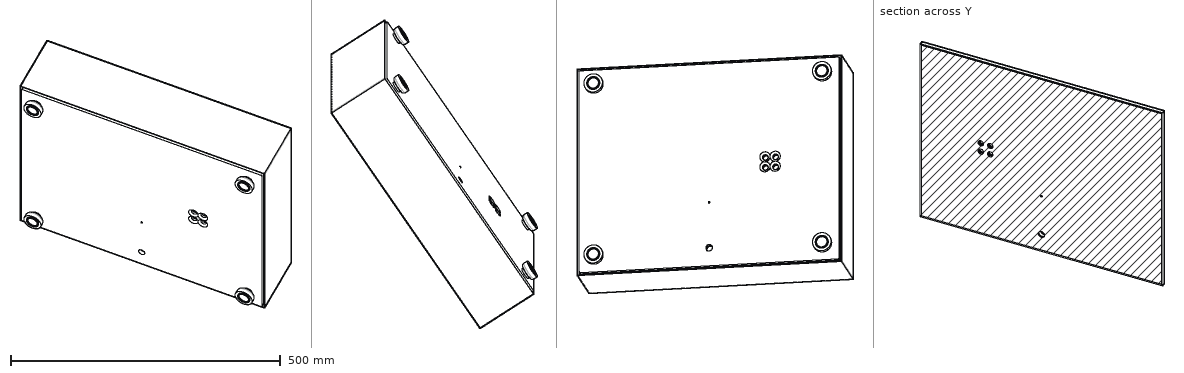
import cadquery as cq


WIDTH = 500.0
HEIGHT = 400.0
HOUSING_DEPTH = 120.0
WALL = 1.5
HOUSING_EDGE_RADIUS = 1.5

COVER_INSET = 4.5
COVER_PROUD = 3.0
COVER_THICKNESS = 7.5
COVER_CORNER_RADIUS = 2.5
COVER_FRONT = -COVER_PROUD
COVER_BACK = COVER_FRONT + COVER_THICKNESS

BACKING_INSET = 3.0
BACKING_THICKNESS = 5.0
BACKING_BACK = COVER_BACK + BACKING_THICKNESS

HOLE_DEPTH = COVER_THICKNESS + BACKING_THICKNESS
ROUND_HOLE_DIAMETER = 12.5
ROUND_HOLE_Z = -160.5
PIN_HOLE_DIAMETER = 3.0
PIN_HOLE_Z = -72.5

COUNTERSUNK_GROUP_X = 115.0
COUNTERSUNK_PITCH = 19.3
COUNTERSINK_DIAMETER = 19.5
COUNTERSINK_DEPTH = 3.5
COUNTERSUNK_BORE_DIAMETER = 10.5

FOOT_X = 215.5
FOOT_Z = 165.5
FOOT_LENGTH = 16.5
NECK_DIAMETER = 21.0
NECK_LENGTH = 4.0
DISC_DIAMETER = 35.0
DISC_LENGTH = FOOT_LENGTH - NECK_LENGTH
DISC_EDGE_RADIUS = 5.0
GROOVE_OUTER_DIAMETER = 24.5
GROOVE_INNER_DIAMETER = 20.0
GROOVE_DEPTH = 1.5


def plate(inset, y_front, y_back):
    """Rectangular block, set in from the housing outline, between two Y planes."""
    block = cq.Workplane("XY").box(
        WIDTH - 2 * inset, y_back - y_front, HEIGHT - 2 * inset, centered=(True, False, True)
    )
    return block.translate((0, y_front, 0))


def cylinder(x, z, diameter, y_front, length):
    """Cylinder that starts at y_front and runs towards +Y."""
    return cq.Workplane("XZ", origin=(x, y_front, z)).circle(diameter / 2).extrude(-length)


def make_housing():
    """Box with every edge rounded except those of its open side."""
    outside = plate(0, 0, HOUSING_DEPTH).edges("not <Y").fillet(HOUSING_EDGE_RADIUS)
    cavity = plate(WALL, 0, HOUSING_DEPTH - WALL)
    return outside.cut(cavity)


def countersunk_hole(x, z):
    """Cone that narrows from the cover's front face to a bore running right through."""
    cone = (
        cq.Workplane("XZ", origin=(x, COVER_FRONT, z))
        .circle(COUNTERSINK_DIAMETER / 2)
        .workplane(offset=-COUNTERSINK_DEPTH)
        .circle(COUNTERSUNK_BORE_DIAMETER / 2)
        .loft()
    )
    bore = cylinder(x, z, COUNTERSUNK_BORE_DIAMETER, COVER_FRONT, HOLE_DEPTH)
    return cone.union(bore)


def hole_cutters():
    """Every hole shared by the cover and the backing plate."""
    cutters = [
        cylinder(0, ROUND_HOLE_Z, ROUND_HOLE_DIAMETER, COVER_FRONT, HOLE_DEPTH),
        cylinder(0, PIN_HOLE_Z, PIN_HOLE_DIAMETER, COVER_FRONT, HOLE_DEPTH),
    ]
    half_pitch = COUNTERSUNK_PITCH / 2
    for dx in (-half_pitch, half_pitch):
        for z in (-half_pitch, half_pitch):
            cutters.append(countersunk_hole(COUNTERSUNK_GROUP_X + dx, z))
    return cutters


def drilled(body):
    """The body with all the shared holes cut through it."""
    for cutter in hole_cutters():
        body = body.cut(cutter)
    return body


def make_cover():
    blank = plate(COVER_INSET, COVER_FRONT, COVER_BACK)
    return drilled(blank.edges("|Y").fillet(COVER_CORNER_RADIUS))


def make_backing_plate():
    return drilled(plate(BACKING_INSET, COVER_BACK, BACKING_BACK))


def make_foot(x, z):
    """One foot, its neck standing on the front face of the cover."""
    foot_end = COVER_FRONT - FOOT_LENGTH
    disc = cylinder(x, z, DISC_DIAMETER, foot_end, DISC_LENGTH)
    disc = disc.faces(">Y").edges().fillet(DISC_EDGE_RADIUS)
    neck = cylinder(x, z, NECK_DIAMETER, COVER_FRONT - NECK_LENGTH, NECK_LENGTH)
    groove_core = cylinder(x, z, GROOVE_INNER_DIAMETER, foot_end, GROOVE_DEPTH)
    groove = cylinder(x, z, GROOVE_OUTER_DIAMETER, foot_end, GROOVE_DEPTH).cut(groove_core)
    return disc.union(neck).cut(groove)


housing = make_housing()
cover = make_cover()
backing_plate = make_backing_plate()

feet = []
for foot_x in (-FOOT_X, FOOT_X):
    for foot_z in (-FOOT_Z, FOOT_Z):
        feet.append(make_foot(foot_x, foot_z).val())

result = cq.Compound.makeCompound([housing.val(), cover.val(), backing_plate.val(), *feet])